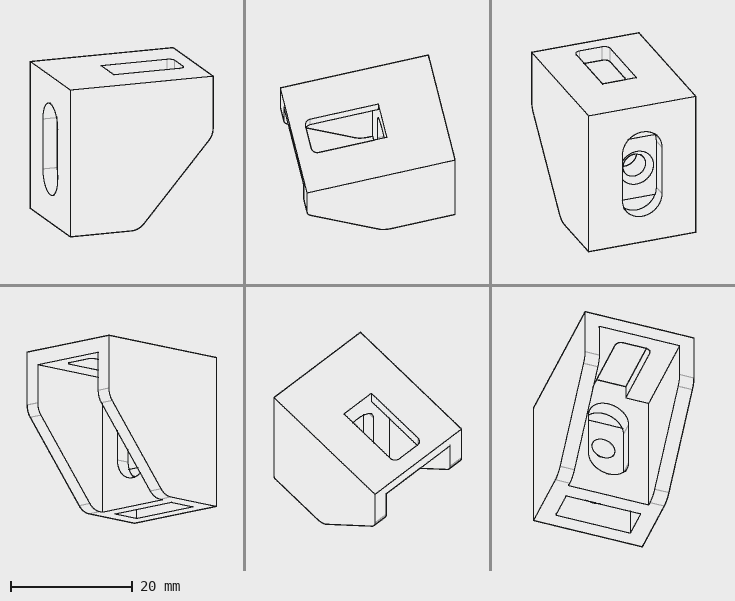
import cadquery as cq

width = 19.0
depth = 25.0
height = 25.0
wall = 2.5
half_width = width / 2
mid_height = height / 2

underside_length = 12.0
back_face_bottom = 15.0
slope_fillet = 3.0

channel_width = 13.0
channel_depth = 5.0
channel_back = wall + channel_depth
partition_back = channel_back + wall

chamber_width = width - 2 * wall

front_slot_width = 7.0
front_slot_length = 15.5

top_slot_width = 6.0
top_slot_back = depth - wall
top_slot_fillet = 1.0

slider_height = 11.0
hole_diameter = 4.0
countersink_diameter = 6.0
countersink_angle = 90.0


def block(size_x, y_start, y_end, z_start, z_end):
    """Box centred on X = 0 between the given Y and Z limits."""
    return (
        cq.Workplane("XY")
        .box(size_x, y_end - y_start, z_end - z_start, centered=(True, False, False))
        .translate((0, y_start, z_start))
    )


def make_outer_shape():
    outline = [
        (0, 0),
        (underside_length, 0),
        (depth, back_face_bottom),
        (depth, height),
        (0, height),
    ]
    prism = cq.Workplane("YZ").polyline(outline).close().extrude(half_width, both=True)
    lower_corner = cq.selectors.NearestToPointSelector((0, underside_length, 0))
    upper_corner = cq.selectors.NearestToPointSelector((0, depth, back_face_bottom))
    return prism.edges("|X").edges(lower_corner + upper_corner).fillet(slope_fillet)


def make_front_slot():
    return (
        cq.Workplane("XZ")
        .center(0, mid_height)
        .slot2D(front_slot_length, front_slot_width, angle=90)
        .extrude(-partition_back)
    )


def make_top_slot():
    slot = block(top_slot_width, partition_back, top_slot_back, height - wall, height)
    return slot.edges("|Z and >Y").fillet(top_slot_fillet)


def make_housing():
    channel = block(channel_width, wall, channel_back, 0, height - wall)
    chamber = block(chamber_width, partition_back, depth, 0, height - wall)
    return (
        make_outer_shape()
        .cut(channel)
        .cut(chamber)
        .cut(make_front_slot())
        .cut(make_top_slot())
    )


def make_slider():
    bottom = mid_height - slider_height / 2
    plate = block(channel_width, wall, channel_back, bottom, bottom + slider_height)
    return (
        plate.faces("<Y")
        .workplane(centerOption="CenterOfBoundBox")
        .cskHole(hole_diameter, countersink_diameter, countersink_angle)
    )


housing = make_housing()
slider = make_slider()

result = cq.Compound.makeCompound([housing.val(), slider.val()])